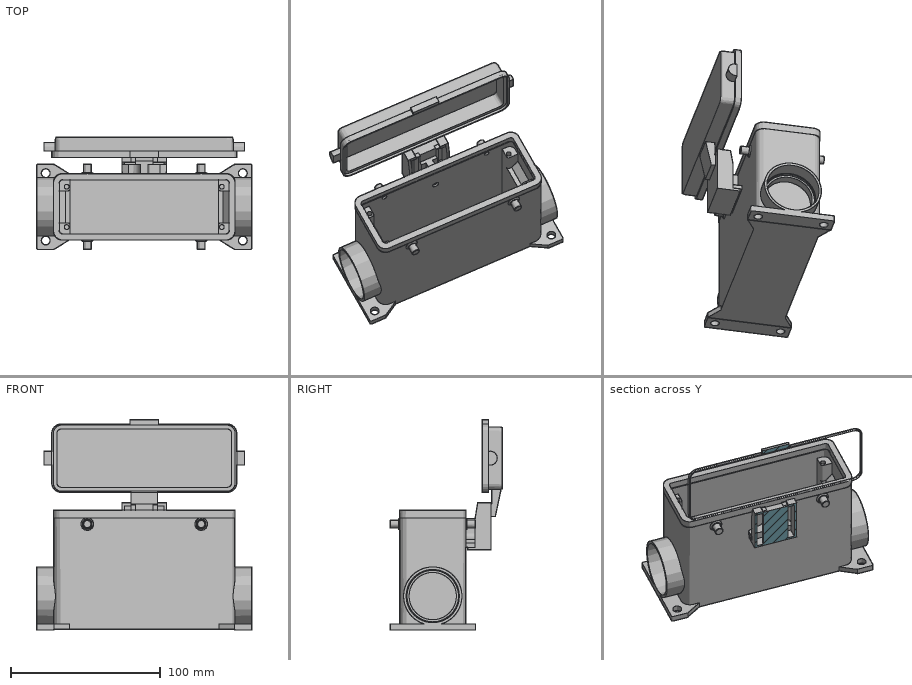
import cadquery as cq

OVERALL_LENGTH = 144.0
OVERALL_DEPTH = 75.25
OVERALL_HEIGHT = 140.75
FRONT_Y = -28.6
LID_BACK_Y = FRONT_Y + OVERALL_DEPTH
OVERLAP = 1.0

BODY_LENGTH = 121.4
BODY_WIDTH = 44.2
BODY_CORNER = 6.4
BODY_BOTTOM = 0.4
RIM_LENGTH = 121.6
RIM_WIDTH = 44.6
RIM_CORNER = 6.0
RIM_BOTTOM = 75.0
BODY_TOP = 80.3
MOUTH_LENGTH = 113.4
MOUTH_WIDTH = 36.0
MOUTH_CORNER = 2.0
MOUTH_OVERHANG = 0.7
CAVITY_LENGTH = MOUTH_LENGTH + 2 * MOUTH_OVERHANG
CAVITY_WIDTH = MOUTH_WIDTH + 2 * MOUTH_OVERHANG
CAVITY_CORNER = 4.3
FLOOR_TOP = 4.0

POST_LENGTH = 7.8
POST_WIDTH = 8.0
POST_TOP = 68.0
POST_EDGE_RADIUS = 1.5
POST_HOLE_DIAMETER = 3.2
POST_HOLE_DEPTH = 18.0
POST_HOLE_X = 51.9
POST_HOLE_Y = 13.5
LEDGE_TOP = 53.6
LEDGE_SLOPE = 4.7

FOOT_THICKNESS = 4.2
FOOT_FLAT_LENGTH = 11.5
FOOT_TAPER_END_X = 50.0
FOOT_CORNER = 1.0
FOOT_HOLE_DIAMETER = 5.7
FOOT_HOLE_X = 65.9
FOOT_HOLE_Y = 22.5

PORT_AXIS_Z = 22.75
PORT_OUTER_RADIUS = 19.5
PORT_BORE_RADIUS = 17.8
PORT_BORE_END_X = 62.0
PORT_STEP_RADIUS = 17.2
PORT_STEP_END_X = 60.3
PORT_KNOCKOUT_RADIUS = 15.8
PORT_KNOCKOUT_END_X = 54.5

PIN_X = 38.1
PIN_Z = 70.9
PIN_RADIUS = 2.7
PIN_TIP_CHAMFER = 0.3
PIN_COLLAR_BASE_RADIUS = 4.2
PIN_COLLAR_RADIUS = 3.3
PIN_COLLAR_LENGTH = 0.9
PIN_HOLE_DIAMETER = 3.2
CENTRE_HOLE_DIAMETER = 4.5
WALL_HOLE_DEPTH = 1.5
CENTRE_HOLE_Z = 58.6

HINGE_HALF_LENGTH = 15.0
HINGE_BACK_Y = 39.1
HINGE_FRONT_Y = 28.3
HINGE_TOP_FRONT_Y = 30.0
HINGE_SLOPE_BOTTOM = 75.0
HINGE_BOTTOM = 53.6
HINGE_TOP = 85.2
HINGE_LIP_Y = 23.4
HINGE_LIP_TOP = 55.4
HINGE_POCKET_OUTER_X = 13.1
HINGE_POCKET_INNER_X = 5.9
HINGE_POCKET_TOP = 83.0
HINGE_POCKET_BACK_Y = 36.0
HINGE_STEP_TOP = 83.8
HINGE_STEP_BACK_Y = 33.0
HINGE_FACE_Y = 30.6
HINGE_NOTCH_DEPTH = 0.8
BRACKET_HALF_LENGTH = 14.8
BRACKET_TOP = 74.8
BRACKET_NECK_HALF = 2.5
BRACKET_ARC_TOP = 66.4
BRACKET_ARC_END_X = 10.6
BRACKET_ARC_END_Z = 60.7
BRACKET_ARC_MID = (5.0, 61.8)
BRACKET_SIDE_TOP = 58.3

LID_CENTRE_Z = 115.0
FLANGE_LENGTH = 124.0
FLANGE_HEIGHT = 45.9
FLANGE_CORNER = 6.7
FLANGE_FRONT_Y = 33.0
FLANGE_BACK_Y = 37.3
SHELL_LENGTH = 119.2
SHELL_HEIGHT = 42.0
SHELL_CORNER = 4.3
SHELL_CHAMFER_DEPTH = 1.7
SHELL_CHAMFER_INSET = 0.5
SEAT_LENGTH = 121.6
SEAT_HEIGHT = 44.2
SEAT_CORNER = 5.5
SEAT_DEPTH = 1.7
LID_CAVITY_LENGTH = 116.8
LID_CAVITY_HEIGHT = 39.0
LID_CAVITY_CORNER = 3.0
LID_CAVITY_BACK_Y = 45.0
TAB_HALF_LENGTH = 9.6
ARM_HALF_LENGTH = 9.0
ARM_TOP = 96.0
ARM_BOTTOM = 75.9
ARM_BOTTOM_BACK_Y = 41.9
ARM_FRONT_Y = 39.4
SIDE_PIN_END_X = 67.2
SIDE_PIN_RADIUS = 4.65
SIDE_PIN_AXIS_Y = 38.5

SIDES = (-1, 1)


def span_box(x_range, y_range, z_range):
    """Box between two limits along each axis."""
    size = [high - low for low, high in (x_range, y_range, z_range)]
    return cq.Workplane("XY").box(*size, centered=False).translate((x_range[0], y_range[0], z_range[0]))


def upright_prism(length, width, corner, bottom, top):
    """Rounded rectangle, centred in plan, standing from bottom to top."""
    prism = cq.Workplane("XY", origin=(0, 0, bottom)).rect(length, width).extrude(top - bottom)
    return prism.edges("|Z").fillet(corner)


def lid_prism(length, height, corner, front, back):
    """Rounded rectangle, centred on the lid, running from front to back along Y."""
    plane = cq.Workplane("XZ", origin=(0, front, LID_CENTRE_Z))
    return plane.rect(length, height).extrude(front - back).edges("|Y").fillet(corner)


def x_rod(radius, start, end, y, z):
    """Cylinder along X."""
    return cq.Workplane("YZ", origin=(start, y, z)).circle(radius).extrude(end - start)


def mirror_x(shape):
    """Shape together with its mirror image across the YZ plane."""
    return shape.union(shape.mirror("YZ"))


def make_body():
    """Housing block with a slightly larger rim around the top."""
    body = upright_prism(BODY_LENGTH, BODY_WIDTH, BODY_CORNER, BODY_BOTTOM, RIM_BOTTOM)
    return body.union(upright_prism(RIM_LENGTH, RIM_WIDTH, RIM_CORNER, RIM_BOTTOM, BODY_TOP))


def make_foot():
    """End plate that tapers back to the body, relieved underneath along the taper."""
    end_x = OVERALL_LENGTH / 2
    flat_x = end_x - FOOT_FLAT_LENGTH
    taper_y = BODY_WIDTH / 2
    outline = [
        (end_x, FRONT_Y),
        (flat_x, FRONT_Y),
        (FOOT_TAPER_END_X, -taper_y),
        (FOOT_TAPER_END_X, taper_y),
        (flat_x, -FRONT_Y),
        (end_x, -FRONT_Y),
    ]
    foot = cq.Workplane("XY").polyline(outline).close().extrude(FOOT_THICKNESS)
    foot = foot.edges("|Z and >X").fillet(FOOT_CORNER)
    relief = span_box((FOOT_TAPER_END_X, flat_x), (FRONT_Y, -FRONT_Y), (0, BODY_BOTTOM))
    return foot.cut(relief)


def make_foot_holes():
    spots = [(sx * FOOT_HOLE_X, sy * FOOT_HOLE_Y) for sx in SIDES for sy in SIDES]
    return cq.Workplane("XY").pushPoints(spots).circle(FOOT_HOLE_DIAMETER / 2).extrude(FOOT_THICKNESS)


def make_port():
    return x_rod(PORT_OUTER_RADIUS, FOOT_TAPER_END_X, OVERALL_LENGTH / 2, 0, PORT_AXIS_Z)


def make_port_bore():
    """Blind bore that steps down to the thin knock-out wall."""
    steps = [
        (PORT_BORE_RADIUS, PORT_BORE_END_X),
        (PORT_STEP_RADIUS, PORT_STEP_END_X),
        (PORT_KNOCKOUT_RADIUS, PORT_KNOCKOUT_END_X),
    ]
    bore = cq.Workplane("YZ")
    for radius, inner_x in steps:
        bore = bore.union(x_rod(radius, inner_x, OVERALL_LENGTH / 2, 0, PORT_AXIS_Z))
    return bore


def make_cavity():
    """Hollow of the housing, leaving the posts and ledges at both ends."""
    cavity = upright_prism(CAVITY_LENGTH, CAVITY_WIDTH, CAVITY_CORNER, FLOOR_TOP, RIM_BOTTOM)
    cavity = cavity.union(upright_prism(MOUTH_LENGTH, MOUTH_WIDTH, MOUTH_CORNER, RIM_BOTTOM, BODY_TOP))
    return cavity.cut(mirror_x(make_posts_and_ledge()))


def make_posts_and_ledge():
    """Two screw posts at one end of the cavity, joined by a sloped ledge over the cable port."""
    wall_x = CAVITY_LENGTH / 2
    face_x = wall_x - POST_LENGTH
    wall_y = CAVITY_WIDTH / 2
    profile = [
        (face_x, FLOOR_TOP),
        (wall_x, FLOOR_TOP),
        (wall_x, LEDGE_TOP + LEDGE_SLOPE),
        (wall_x - LEDGE_SLOPE, LEDGE_TOP),
        (face_x, LEDGE_TOP),
    ]
    block = cq.Workplane("XZ", origin=(0, wall_y, 0)).polyline(profile).close().extrude(CAVITY_WIDTH)
    for side in SIDES:
        y_range = sorted((side * wall_y, side * (wall_y - POST_WIDTH)))
        post = span_box((face_x, wall_x), y_range, (FLOOR_TOP, POST_TOP))
        inner_edge = "|Z and <X and <Y" if side > 0 else "|Z and <X and >Y"
        post = post.edges(inner_edge).fillet(POST_EDGE_RADIUS)
        block = block.union(post)
    spots = [(POST_HOLE_X, side * POST_HOLE_Y) for side in SIDES]
    holes = cq.Workplane("XY", origin=(0, 0, POST_TOP)).pushPoints(spots)
    return block.cut(holes.circle(POST_HOLE_DIAMETER / 2).extrude(-POST_HOLE_DEPTH))


def make_front_pin():
    """Locking pin on the front wall with a conical collar at its root."""
    wall_y = -BODY_WIDTH / 2
    collar_y = wall_y - PIN_COLLAR_LENGTH
    profile = [
        (0, wall_y + OVERLAP),
        (PIN_COLLAR_BASE_RADIUS, wall_y + OVERLAP),
        (PIN_COLLAR_BASE_RADIUS, wall_y),
        (PIN_COLLAR_RADIUS, collar_y),
        (PIN_RADIUS, collar_y),
        (PIN_RADIUS, FRONT_Y + PIN_TIP_CHAMFER),
        (PIN_RADIUS - PIN_TIP_CHAMFER, FRONT_Y),
        (0, FRONT_Y),
    ]
    pin = cq.Workplane("XY").polyline(profile).close().revolve(360, (0, 0, 0), (0, 1, 0))
    return pin.translate((PIN_X, 0, PIN_Z))


def make_wall_holes():
    """Shallow holes in the inside face of the hinge-side wall."""
    wall = cq.Workplane("XZ", origin=(0, CAVITY_WIDTH / 2, 0))
    pin_holes = wall.pushPoints([(side * PIN_X, PIN_Z) for side in SIDES])
    pin_holes = pin_holes.circle(PIN_HOLE_DIAMETER / 2).extrude(-WALL_HOLE_DEPTH)
    centre_hole = wall.center(0, CENTRE_HOLE_Z).circle(CENTRE_HOLE_DIAMETER / 2).extrude(-WALL_HOLE_DEPTH)
    return pin_holes.union(centre_hole)


def make_bracket():
    """Flared bracket carrying the hinge cover on the housing wall."""
    arc_x, arc_z = BRACKET_ARC_MID
    end = (BRACKET_ARC_END_X, BRACKET_ARC_END_Z)
    outline = cq.Workplane("XZ", origin=(0, HINGE_FRONT_Y, 0))
    outline = outline.moveTo(BRACKET_NECK_HALF, BRACKET_TOP)
    outline = outline.lineTo(BRACKET_NECK_HALF, BRACKET_ARC_TOP)
    outline = outline.threePointArc((arc_x, arc_z), end)
    outline = outline.lineTo(BRACKET_HALF_LENGTH, BRACKET_SIDE_TOP)
    outline = outline.lineTo(BRACKET_HALF_LENGTH, HINGE_LIP_TOP)
    outline = outline.lineTo(0, HINGE_LIP_TOP)
    outline = outline.lineTo(0, BRACKET_TOP)
    depth = HINGE_FRONT_Y - BODY_WIDTH / 2 + OVERLAP
    return mirror_x(outline.close().extrude(depth))


def make_hinge_cover():
    """Hinge cover with a sloped front, pockets at both ends and a notched top."""
    profile = [
        (HINGE_BACK_Y, HINGE_BOTTOM),
        (HINGE_BACK_Y, HINGE_TOP),
        (HINGE_TOP_FRONT_Y, HINGE_TOP),
        (HINGE_FRONT_Y, HINGE_SLOPE_BOTTOM),
        (HINGE_FRONT_Y, HINGE_LIP_TOP),
        (HINGE_LIP_Y, HINGE_LIP_TOP),
        (HINGE_LIP_Y, HINGE_BOTTOM),
    ]
    plane = cq.Workplane("YZ", origin=(-HINGE_HALF_LENGTH, 0, 0))
    cover = plane.polyline(profile).close().extrude(2 * HINGE_HALF_LENGTH)
    pocket_x = (ARM_HALF_LENGTH, HINGE_POCKET_OUTER_X)
    pocket = span_box(pocket_x, (HINGE_FRONT_Y, HINGE_POCKET_BACK_Y), (HINGE_LIP_TOP, HINGE_POCKET_TOP))
    step_x = (HINGE_POCKET_INNER_X, ARM_HALF_LENGTH)
    step = span_box(step_x, (HINGE_FRONT_Y, HINGE_STEP_BACK_Y), (HINGE_LIP_TOP, HINGE_STEP_TOP))
    cover = cover.cut(mirror_x(pocket.union(step)))
    face_x = (-HINGE_POCKET_INNER_X, HINGE_POCKET_INNER_X)
    recess = span_box(face_x, (HINGE_FRONT_Y, HINGE_FACE_Y), (BRACKET_TOP, HINGE_TOP))
    notch_z = (HINGE_TOP - HINGE_NOTCH_DEPTH, HINGE_TOP)
    notch = span_box((-ARM_HALF_LENGTH, ARM_HALF_LENGTH), (HINGE_FRONT_Y, HINGE_BACK_Y), notch_z)
    return cover.cut(recess).cut(notch)


def make_lid():
    """Flanged lid shell with a finger tab, two side pins and a gasket seat around its cavity."""
    flange = lid_prism(FLANGE_LENGTH, FLANGE_HEIGHT, FLANGE_CORNER, FLANGE_FRONT_Y, FLANGE_BACK_Y)
    shell = lid_prism(SHELL_LENGTH, SHELL_HEIGHT, SHELL_CORNER, FLANGE_BACK_Y, LID_BACK_Y)
    shell = shell.faces(">Y").chamfer(SHELL_CHAMFER_DEPTH, SHELL_CHAMFER_INSET)
    tab_x = (-TAB_HALF_LENGTH, TAB_HALF_LENGTH)
    tab = span_box(tab_x, (FLANGE_FRONT_Y, FLANGE_BACK_Y), (LID_CENTRE_Z, OVERALL_HEIGHT))
    rod = x_rod(SIDE_PIN_RADIUS, -SIDE_PIN_END_X, SIDE_PIN_END_X, SIDE_PIN_AXIS_Y, LID_CENTRE_Z)
    rod_x = (-SIDE_PIN_END_X, SIDE_PIN_END_X)
    rod_z = (LID_CENTRE_Z - SIDE_PIN_RADIUS, LID_CENTRE_Z + SIDE_PIN_RADIUS)
    rod = rod.intersect(span_box(rod_x, (FLANGE_BACK_Y, LID_BACK_Y), rod_z))
    lid = flange.union(shell).union(tab).union(rod).union(make_lid_arm())
    seat_y = FLANGE_FRONT_Y + SEAT_DEPTH
    lid = lid.cut(lid_prism(SEAT_LENGTH, SEAT_HEIGHT, SEAT_CORNER, FLANGE_FRONT_Y, seat_y))
    return lid.cut(
        lid_prism(LID_CAVITY_LENGTH, LID_CAVITY_HEIGHT, LID_CAVITY_CORNER, seat_y, LID_CAVITY_BACK_Y)
    )


def make_lid_arm():
    """Tapered arm that hangs from the lid and rests against the back of the hinge cover."""
    profile = [
        (ARM_FRONT_Y, ARM_TOP),
        (LID_BACK_Y - SHELL_CHAMFER_INSET, ARM_TOP),
        (ARM_BOTTOM_BACK_Y, ARM_BOTTOM),
        (HINGE_BACK_Y, ARM_BOTTOM),
        (HINGE_BACK_Y, HINGE_TOP - HINGE_NOTCH_DEPTH),
        (ARM_FRONT_Y, HINGE_TOP - HINGE_NOTCH_DEPTH),
    ]
    plane = cq.Workplane("YZ", origin=(-ARM_HALF_LENGTH, 0, 0))
    return plane.polyline(profile).close().extrude(2 * ARM_HALF_LENGTH)


front_pins = mirror_x(make_front_pin())
housing = make_body().union(mirror_x(make_foot())).union(mirror_x(make_port()))
housing = housing.union(front_pins).union(front_pins.mirror("XZ")).union(make_bracket())
housing = housing.cut(mirror_x(make_port_bore())).cut(make_cavity())
housing = housing.cut(make_wall_holes()).cut(make_foot_holes())
result = housing.union(make_hinge_cover()).union(make_lid())